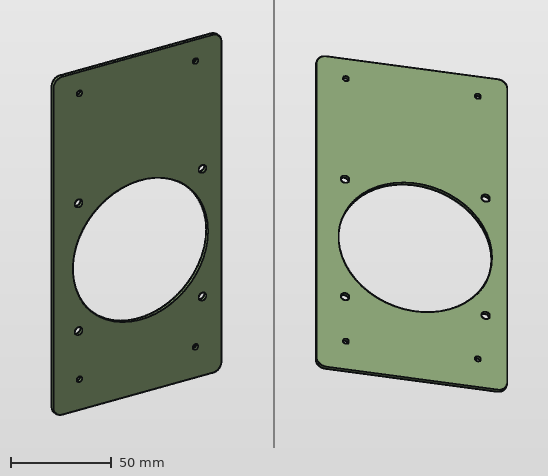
import cadquery as cq

thickness = 2.0
width = 97.0
height = 189.15
corner_radius = 5.0

fan_opening_diameter = 78.0
fan_screw_spacing = 71.5
fan_screw_diameter = 4.3
fan_screw_edge_margin = 14.5
fan_center_above_bottom = 80.0
fan_center_y = -width / 2 + fan_screw_edge_margin + fan_screw_spacing / 2
fan_center_z = -height / 2 + fan_center_above_bottom

mount_spacing_y = 67.0
mount_spacing_z = 160.0
mount_diameter = 3.0
mount_top_margin = 12.0
mount_center_y = 0.0
mount_center_z = height / 2 - mount_top_margin - mount_spacing_z / 2


def make_plate():
    """Flat plate with its four corners rounded."""
    return cq.Workplane("XY").box(thickness, width, height).edges("|X").fillet(corner_radius)


def make_hole_cutter(diameter, center_y, center_z, spacing_y=0.0, spacing_z=0.0):
    """Cylinders through the plate: one at the center, or one at each corner of a spaced rectangle."""
    plane = cq.Workplane("YZ").center(center_y, center_z)
    if spacing_y and spacing_z:
        plane = plane.rect(spacing_y, spacing_z, forConstruction=True).vertices()
    return plane.circle(diameter / 2).extrude(thickness, both=True)


fan_opening = make_hole_cutter(fan_opening_diameter, fan_center_y, fan_center_z)
fan_screws = make_hole_cutter(
    fan_screw_diameter, fan_center_y, fan_center_z, fan_screw_spacing, fan_screw_spacing
)
mount_holes = make_hole_cutter(
    mount_diameter, mount_center_y, mount_center_z, mount_spacing_y, mount_spacing_z
)

result = make_plate().cut(fan_opening).cut(fan_screws).cut(mount_holes)